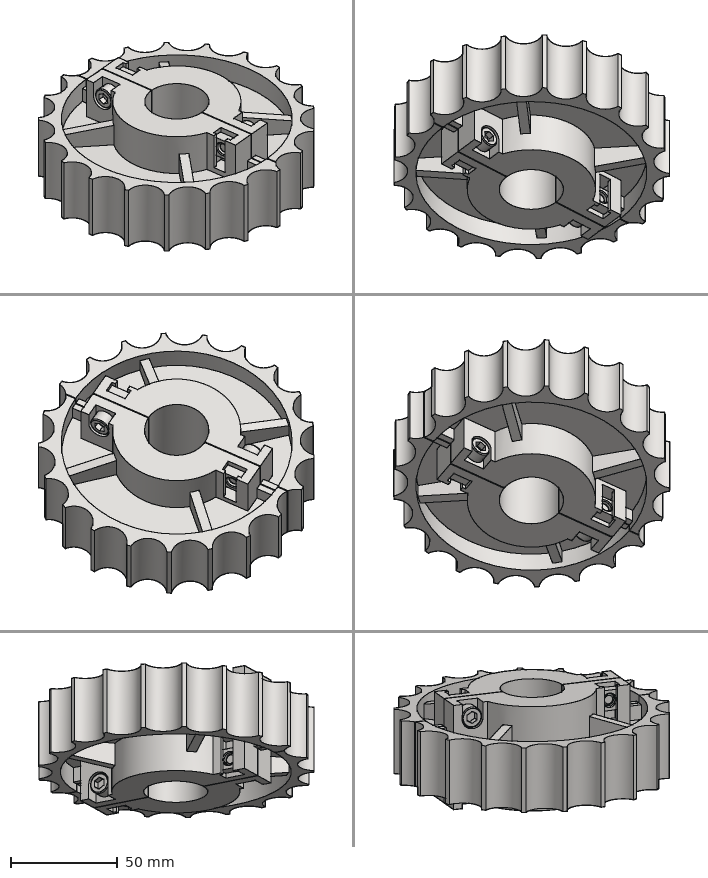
import cadquery as cq

tooth_count = 21
tip_radius = 64.75
groove_radius = 9.0
groove_root_radius = 57.9
rim_width = 31.5
rim_inner_radius = 54.0
first_groove_angle = 90.0

hub_width = 51.0
hub_radius = 30.0
bore_radius = 15.0
block_length = 89.2
block_depth = 24.0
web_thickness = 9.7
split_gap = 0.4

diagonal_rib_width = 4.6
diagonal_rib_angles = (45, 135, 225, 315)
rib_height_at_hub = rim_width / 2
rib_height_at_rim = 12.0
side_rib_width = 6.3
side_rib_angles = (0, 180)
rib_overlap = 1.0
rib_root_radius = hub_radius - rib_overlap
rib_end_radius = rim_inner_radius + rib_overlap

screw_x = 35.0
screw_z = 18.3
shank_diameter = 6.0
tip_chamfer = 0.9
head_diameter = 10.0
head_height = 6.0
head_chamfer = 0.5
socket_sides = 6
socket_width = 5.0
socket_depth = 3.0
head_seat_y = 5.25
shank_length = 14.0
nut_size = 10.0
nut_thickness = 5.0
nut_outer_y = 10.0
nut_countersink = 0.5

head_slot_width = 10.5
nut_pocket_depth = 5.5
shank_slot_width = 6.6
nut_pocket_floor_z = 7.6

side_turns = (0, 180)
outer_ends = (1, -1)


def cylinder_along_y(diameter, y_start, y_end):
    """Cylinder on the screw axis of the upper -X screw."""
    return (
        cq.Workplane("XZ", origin=(-screw_x, y_start, screw_z))
        .circle(diameter / 2)
        .extrude(y_start - y_end)
    )


def box_between(x_size, y_start, y_end, z_start, z_end):
    """Box centred in X on the -X screws, spanning the given Y and Z ranges."""
    return (
        cq.Workplane("XY", origin=(-screw_x, y_start, z_start))
        .box(x_size, y_end - y_start, z_end - z_start, centered=(True, False, False))
    )


def place(body, half_turn, end):
    """Copy a feature of the upper -X screw to another corner of the clamp block."""
    placed = body if end > 0 else body.mirror("XY")
    return placed.rotate((0, 0, 0), (0, 0, 1), half_turn)


def toothed_rim():
    rim = cq.Workplane("XY").circle(tip_radius).extrude(rim_width / 2, both=True)
    grooves = (
        cq.Workplane("XY")
        .polarArray(groove_root_radius + groove_radius, first_groove_angle, 360, tooth_count)
        .circle(groove_radius)
        .extrude(rim_width, both=True)
    )
    opening = cq.Workplane("XY").circle(rim_inner_radius).extrude(rim_width, both=True)
    return rim.cut(grooves).cut(opening)


def rib(angle, width, hub_height, rim_height):
    """Radial rib on both faces of the web, its edges falling in a straight line from hub to rim."""
    fall_per_mm = (hub_height - rim_height) / (rim_inner_radius - hub_radius)
    root_z = hub_height + fall_per_mm * (hub_radius - rib_root_radius)
    end_z = rim_height - fall_per_mm * (rib_end_radius - rim_inner_radius)
    outline = [
        (rib_root_radius, -root_z),
        (rib_end_radius, -end_z),
        (rib_end_radius, end_z),
        (rib_root_radius, root_z),
    ]
    blade = cq.Workplane("XZ").polyline(outline).close().extrude(width / 2, both=True)
    return blade.rotate((0, 0, 0), (0, 0, 1), angle)


def wheel():
    """Complete wheel before the clamp recesses and the split."""
    body = toothed_rim()
    body = body.union(cq.Workplane("XY").circle(rib_end_radius).extrude(web_thickness / 2, both=True))
    body = body.union(cq.Workplane("XY").circle(hub_radius).extrude(hub_width / 2, both=True))
    body = body.union(cq.Workplane("XY").box(block_length, block_depth, hub_width))
    for angle in diagonal_rib_angles:
        body = body.union(rib(angle, diagonal_rib_width, rib_height_at_hub, rib_height_at_rim))
    for angle in side_rib_angles:
        body = body.union(rib(angle, side_rib_width, rib_height_at_rim, rib_height_at_rim))
    return body.cut(cq.Workplane("XY").circle(bore_radius).extrude(hub_width, both=True))


def clamp_recess():
    """Head slot, shank hole and nut pocket of the upper -X screw, open to the end of the hub."""
    hub_end = hub_width / 2
    face_y = block_depth / 2
    head_slot = cylinder_along_y(head_slot_width, -face_y, -head_seat_y).union(
        box_between(head_slot_width, -face_y, -head_seat_y, screw_z, hub_end)
    )
    shank_hole = cylinder_along_y(shank_slot_width, -face_y, face_y)
    nut_pocket = box_between(
        nut_size, nut_outer_y - nut_pocket_depth, nut_outer_y, nut_pocket_floor_z, hub_end
    )
    shank_slot = box_between(shank_slot_width, nut_outer_y, face_y, nut_pocket_floor_z, hub_end)
    return head_slot.union(shank_hole).union(nut_pocket).union(shank_slot)


def sprocket_half(recessed_wheel, side):
    """Half of the split wheel on the +Y (side = 1) or -Y (side = -1) side."""
    reach = 2 * tip_radius
    keep = cq.Workplane("XY").box(reach, reach, hub_width)
    return recessed_wheel.intersect(keep.translate((0, side * (reach + split_gap) / 2, 0)))


def clamp_screw():
    """Upper -X socket head screw, its tip set back inside the nut."""
    head_end_y = -head_seat_y - head_height
    head = cylinder_along_y(head_diameter, head_end_y, -head_seat_y).faces("<Y").chamfer(head_chamfer)
    tip_y = shank_length - head_seat_y
    shank = cylinder_along_y(shank_diameter, -head_seat_y, tip_y).faces(">Y").chamfer(tip_chamfer)
    socket = (
        cq.Workplane("XZ", origin=(-screw_x, head_end_y, screw_z))
        .polygon(socket_sides, socket_width, circumscribed=True)
        .extrude(-socket_depth)
    )
    return head.union(shank).cut(socket)


def square_nut():
    """Square nut of the upper -X screw, its thread hole countersunk at both faces."""
    half = nut_size / 2
    nut = box_between(nut_size, nut_outer_y - nut_thickness, nut_outer_y, screw_z - half, screw_z + half)
    nut = nut.cut(cylinder_along_y(shank_diameter, nut_outer_y - nut_thickness, nut_outer_y))
    return nut.edges("%CIRCLE").chamfer(nut_countersink)


recess = clamp_recess()
screw = clamp_screw()
nut = square_nut()

recessed_wheel = wheel()
screws = []
nuts = []
for half_turn in side_turns:
    for end in outer_ends:
        recessed_wheel = recessed_wheel.cut(place(recess, half_turn, end))
        screws.append(place(screw, half_turn, end))
        nuts.append(place(nut, half_turn, end))

halves = [sprocket_half(recessed_wheel, side) for side in (1, -1)]

bodies = halves + screws + nuts
result = cq.Compound.makeCompound([solid for body in bodies for solid in body.solids().vals()])